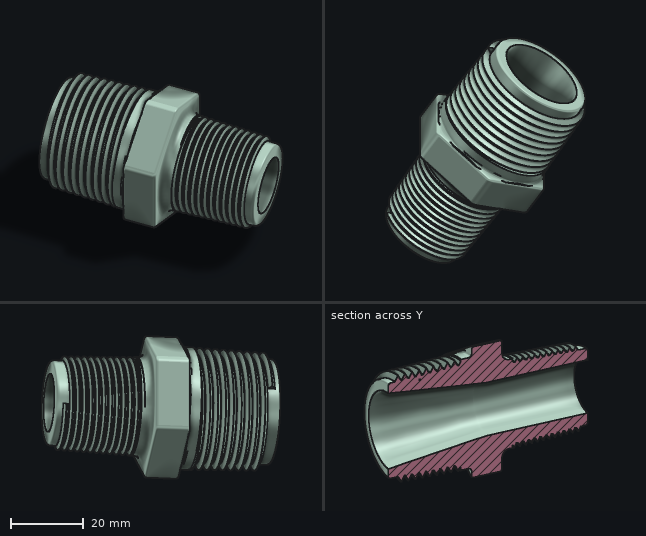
import cadquery as cq
import math


total_length = 61.98
thread_taper = 1.0 / 32
taper_angle = math.degrees(math.atan(thread_taper))
inch = 25.4
x_axis = ((0, 0, 0), (1, 0, 0))

hex_across_flats = 35.0
hex_start = 25.8
hex_end = 35.4
hex_corner_round = 2.05
hex_edge_round = 0.8
hex_middle = (hex_start + hex_end) / 2

bore_radius = 16.0 / 2
mouth_radius = 22.88 / 2
bore_taper_end = hex_middle

large_end_radius = 14.5
large_end_round = 0.7
large_pitch = inch / 11.5
large_thread_height = 1.65
large_thread_start = 2.47
large_thread_turns = 9.5
large_collar_radius = 33.78 / 2
large_collar_start = 22.54
large_collar_fillet = 0.75

small_end_radius = 11.7
small_end_round = 0.85
small_pitch = inch / 14
small_thread_height = 1.15
small_thread_start = 2.43
small_thread_turns = 12
small_collar_radius = 27.18 / 2
small_collar_end = 38.6
small_collar_fillet = 2.3

flank_angle = 30.0
crest_width = 0.12
thread_start_angle = 13.0
thread_embed = 0.1


def root_radius(end_radius, distance):
    """Radius of the root cone at a distance from its end face."""
    return end_radius + distance * thread_taper


def concave_arc_middle(x_center, radius_center, fillet, x_side):
    """Middle point of a quarter-round fillet that bulges towards the axis on the given X side."""
    reach = fillet * math.sqrt(0.5)
    return (x_center + x_side * reach, radius_center - reach)


def make_core():
    """Solid of revolution: both stubs with root cones and collars, joined inside the hex."""
    small_top = small_collar_radius + small_collar_fillet
    large_root_end = root_radius(large_end_radius, large_collar_start)
    small_root_end = root_radius(small_end_radius, total_length - small_collar_end)
    small_valley = concave_arc_middle(hex_end + small_collar_fillet, small_top, small_collar_fillet, -1)
    profile = (
        cq.Workplane("XY")
        .moveTo(0, 0)
        .lineTo(0, large_end_radius)
        .lineTo(large_collar_start, large_root_end)
        .lineTo(large_collar_start, large_collar_radius)
        .lineTo(hex_middle, large_collar_radius)
        .lineTo(hex_middle, small_top)
        .lineTo(hex_end, small_top)
        .threePointArc(small_valley, (hex_end + small_collar_fillet, small_collar_radius))
        .lineTo(small_collar_end, small_collar_radius)
        .lineTo(small_collar_end, small_root_end)
        .lineTo(total_length, small_end_radius)
        .lineTo(total_length, 0)
        .close()
    )
    core = profile.revolve(360, *x_axis)
    core = core.faces("<X").edges().fillet(large_end_round)
    core = core.faces(">X").edges().fillet(small_end_round)
    return core


def make_hex(across_flats, start, end):
    """Sharp-cornered hexagonal prism along X, flats facing +Y and -Y."""
    across_corners = across_flats / math.cos(math.radians(30))
    return (
        cq.Workplane("YZ", origin=(start, 0, 0))
        .transformed(rotate=(0, 0, 90))
        .polygon(6, across_corners)
        .extrude(end - start)
    )


def make_rounded_hex():
    """Wrench hexagon with its corners and both face outlines rounded."""
    body = make_hex(hex_across_flats, hex_start, hex_end)
    body = body.edges("|X").fillet(hex_corner_round)
    return body.faces("<X or >X").edges().fillet(hex_edge_round)


def make_collar_fillet():
    """Fillet ring between the large collar and the hex face, trimmed halfway up the edge rounding."""
    start = hex_start - large_collar_fillet
    top = large_collar_radius + large_collar_fillet
    ring = (
        cq.Workplane("XY")
        .moveTo(start, large_collar_radius)
        .threePointArc(concave_arc_middle(start, top, large_collar_fillet, 1), (hex_start, top))
        .lineTo(hex_start + hex_edge_round, top)
        .lineTo(hex_start + hex_edge_round, large_collar_radius)
        .close()
        .revolve(360, *x_axis)
    )
    trim_across_flats = hex_across_flats - hex_edge_round
    return ring.intersect(make_hex(trim_across_flats, start, hex_start + hex_edge_round))


def make_thread(end_radius, pitch, height, start, turns):
    """Tapered right-hand ridge along +X from an end face at X = 0, starting near the +Y side."""
    half_crest = crest_width / 2
    first_section = start + pitch * thread_start_angle / 360
    half_base = half_crest + (height + thread_embed) * math.tan(math.radians(flank_angle))

    def helix(offset, rise):
        """Helix at an axial offset and a radial rise from the middle of the root."""
        position = first_section + offset
        radius = root_radius(end_radius, position) + rise
        return cq.Wire.makeHelix(
            pitch, turns * pitch, radius, cq.Vector(0, 0, position), cq.Vector(0, 0, 1), taper_angle
        )

    corners = [
        helix(-half_base, -thread_embed),
        helix(-half_crest, height),
        helix(half_crest, height),
        helix(half_base, -thread_embed),
    ]
    sides = [
        cq.Face.makeRuledSurface(corner, corners[index - 1]) for index, corner in enumerate(corners)
    ]
    ends = []
    for place in (0, 1):
        points = [corner.Edges()[0].positionAt(place) for corner in corners]
        ends.append(cq.Face.makeFromWires(cq.Wire.makePolygon(points, close=True)))
    shell = cq.Shell.makeShell(sides + ends)
    ridge = cq.Workplane(cq.Solid.makeSolid(shell))
    ridge = ridge.rotate((0, 0, 0), (1, 1, 1), 120)
    return ridge.rotate(*x_axis, thread_start_angle)


def make_bore():
    """Through bore that tapers down from the large end face, then runs straight."""
    return (
        cq.Workplane("XY")
        .polyline([
            (0, 0),
            (0, mouth_radius),
            (bore_taper_end, bore_radius),
            (total_length, bore_radius),
            (total_length, 0),
        ])
        .close()
        .revolve(360, *x_axis)
    )


large_thread = make_thread(
    large_end_radius, large_pitch, large_thread_height, large_thread_start, large_thread_turns
)
small_thread = (
    make_thread(small_end_radius, small_pitch, small_thread_height, small_thread_start, small_thread_turns)
    .rotate((0, 0, 0), (0, 1, 0), 180)
    .translate((total_length, 0, 0))
)

result = (
    make_core()
    .union(make_rounded_hex())
    .union(make_collar_fillet())
    .cut(make_bore())
    .union(large_thread)
    .union(small_thread)
)